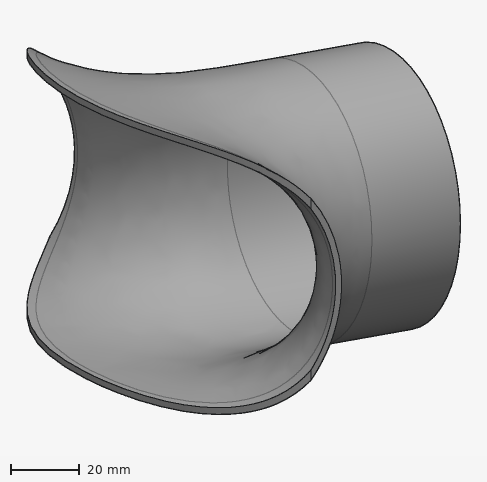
import cadquery as cq
import math

OUTER_RADIUS = 42.5
WALL = 2.0
INNER_RADIUS = OUTER_RADIUS - WALL
LENGTH_Y = 101.94
BRANCH_LENGTH = 30.0
SEAM_Y = LENGTH_Y - BRANCH_LENGTH
SADDLE_LENGTH_X = 150.0

RIM_HALF_X = 77.3
RIM_HALF_Y = OUTER_RADIUS
FLARE_HALF_X = 73.3
STRIP_WIDTH = 2.0
FLARE_HALF_Y = RIM_HALF_Y - STRIP_WIDTH

TRIM_MARGIN = 0.5
UNTRIMMED_HALF_X = RIM_HALF_X + TRIM_MARGIN
UNTRIMMED_HALF_Y = RIM_HALF_Y + TRIM_MARGIN

ANGLE_STEPS = 72
FLARE_STEPS = 12
LINE_STEPS = 4
MIN_DEGREE = 3
MAX_DEGREE = 6
SURFACE_TOLERANCE = 0.001
SEWING_TOLERANCE = 0.02

HANDLE_RATIO = 0.39

ANGLES = [2 * math.pi * i / ANGLE_STEPS - math.pi / 2 for i in range(ANGLE_STEPS + 1)]
FLARE_FRACTIONS = [i / FLARE_STEPS for i in range(FLARE_STEPS + 1)]
LINE_FRACTIONS = [i / LINE_STEPS for i in range(LINE_STEPS + 1)]


def seam_point(radius, angle):
    """Point on the circle where the branch tube meets the flare."""
    return cq.Vector(radius * math.cos(angle), SEAM_Y, radius * math.sin(angle))


def saddle_point(radius, half_x, half_y, angle):
    """Point on the run cylinder that also lies on an ellipse drawn in the XY plane."""
    lowest_y = OUTER_RADIUS - half_y
    y = radius * math.cos(angle) ** 2 + lowest_y * math.sin(angle) ** 2
    x = half_x * math.sqrt(max(0.0, 1 - ((OUTER_RADIUS - y) / half_y) ** 2))
    z = math.sqrt(max(0.0, radius**2 - y**2))
    return cq.Vector(math.copysign(x, math.cos(angle)), y, math.copysign(z, math.sin(angle)))


def flare_end(radius, angle):
    """Point where the flare meets the cylindrical strip."""
    return saddle_point(radius, FLARE_HALF_X, FLARE_HALF_Y, angle)


def strip_end(radius, angle):
    """Point on the untrimmed edge of the strip."""
    return saddle_point(radius, UNTRIMMED_HALF_X, UNTRIMMED_HALF_Y, angle)


def flare_profile(radius, angle):
    """Bezier curve that leaves along the branch and lands tangent to the run cylinder."""
    start = seam_point(radius, angle)
    end = flare_end(radius, angle)
    normal = cq.Vector(0, end.y, end.z).normalized()
    outward = strip_end(radius, angle) - end
    landing = (outward - normal * outward.dot(normal)).normalized()
    handle = HANDLE_RATIO * (end - start).Length
    start_handle = start - cq.Vector(0, handle, 0)
    end_handle = end - landing * handle
    points = []
    for t in FLARE_FRACTIONS:
        s = 1 - t
        near_start = start * s**3 + start_handle * (3 * s**2 * t)
        near_end = end_handle * (3 * s * t**2) + end * t**3
        points.append(near_start + near_end)
    return points


def strip_profile(radius, angle):
    """Points on the run cylinder from the end of the flare to the untrimmed edge."""
    start = flare_end(radius, angle)
    end = strip_end(radius, angle)
    points = []
    for t in LINE_FRACTIONS:
        chord_point = start + (end - start) * t
        stretch = radius / math.hypot(chord_point.y, chord_point.z)
        points.append(cq.Vector(chord_point.x, chord_point.y * stretch, chord_point.z * stretch))
    return points


def bridge_profile(outer_point, inner_point):
    """Straight line across the wall thickness."""
    return [outer_point + (inner_point - outer_point) * t for t in LINE_FRACTIONS]


def seam_ring_profile(angle):
    """Line across the wall at the seam with the branch."""
    return bridge_profile(seam_point(OUTER_RADIUS, angle), seam_point(INNER_RADIUS, angle))


def untrimmed_edge_profile(angle):
    """Line across the wall at the untrimmed edge."""
    return bridge_profile(strip_end(OUTER_RADIUS, angle), strip_end(INNER_RADIUS, angle))


def wrapped_face(profiles):
    """Smooth face through profiles taken at all angles round the branch."""
    return cq.Face.makeSplineApprox(profiles, tol=SURFACE_TOLERANCE, minDeg=MIN_DEGREE, maxDeg=MAX_DEGREE)


def make_untrimmed_saddle():
    """Flare and saddle strip, closed by the seam ring and the untrimmed edge."""
    faces = [
        wrapped_face([seam_ring_profile(angle) for angle in ANGLES]),
        wrapped_face([untrimmed_edge_profile(angle) for angle in ANGLES]),
    ]
    for radius in (OUTER_RADIUS, INNER_RADIUS):
        faces.append(wrapped_face([flare_profile(radius, angle) for angle in ANGLES]))
        faces.append(wrapped_face([strip_profile(radius, angle) for angle in ANGLES]))
    skin = cq.occ_impl.shapes.shell(*faces, tol=SEWING_TOLERANCE)
    return cq.Workplane(cq.Solid.makeSolid(skin))


def make_rim_envelope():
    """Prism along Z whose elliptical front cuts the rim and whose flat sides set the X size."""
    half_height = 2 * OUTER_RADIUS
    front = (
        cq.Workplane("XY")
        .center(0, OUTER_RADIUS)
        .ellipse(RIM_HALF_X, RIM_HALF_Y)
        .extrude(half_height, both=True)
    )
    back = (
        cq.Workplane("XY")
        .center(0, OUTER_RADIUS + LENGTH_Y / 2)
        .rect(2 * RIM_HALF_X, LENGTH_Y)
        .extrude(half_height, both=True)
    )
    sides = cq.Workplane("XY").rect(SADDLE_LENGTH_X, 4 * LENGTH_Y).extrude(half_height, both=True)
    return front.union(back).intersect(sides)


def make_branch():
    """Plain tube between the seam and the open end."""
    end_plane = cq.Workplane("XZ", origin=(0, LENGTH_Y, 0))
    return end_plane.circle(OUTER_RADIUS).circle(INNER_RADIUS).extrude(BRANCH_LENGTH)


saddle = make_untrimmed_saddle().intersect(make_rim_envelope())
result = saddle.union(make_branch())